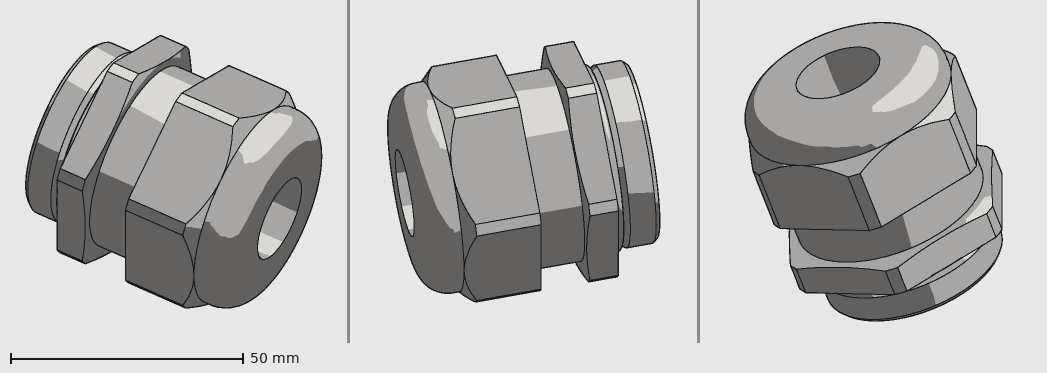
import cadquery as cq
import math

FULL_TURN = 360


lead_in_end = 1.0
thread_end = 6.7
neck_start = 8.1
flange_start = 10.0
flange_end = 17.0
nut_start = 27.0
nut_end = 44.0
dome_start = 45.5
total_length = 52.0

thread_diameter = 40.0
core_diameter = 38.38
ring_outer_diameter = 41.2
ring_section_radius = 1.25
ring_overlap = 0.1
ring_centre_x = neck_start + ring_section_radius - ring_overlap

body_diameter = 42.2
across_flats = 46.0
corner_diameter = 51.59
flange_chamfer_angle = 15.0
nut_chamfer_angle = 45.0
cap_diameter = across_flats
dome_radius = total_length - dome_start

bore_entry_diameter = 24.0
bore_exit_diameter = 19.0


def revolve_about_x(profile):
    """Revolve a closed XY profile a full turn about the X axis."""
    return profile.revolve(FULL_TURN, (0, 0, 0), (1, 0, 0))


def cylinder_along_x(start, end, diameter):
    return cq.Workplane("YZ").workplane(offset=start).circle(diameter / 2).extrude(end - start)


def make_spigot():
    """Thread envelope with a lead-in chamfer and a tapered run-out into the neck."""
    profile = (
        cq.Workplane("XY")
        .lineTo(0, core_diameter / 2)
        .lineTo(lead_in_end, thread_diameter / 2)
        .lineTo(thread_end, thread_diameter / 2)
        .lineTo(neck_start, core_diameter / 2)
        .lineTo(flange_start, core_diameter / 2)
        .lineTo(flange_start, 0)
        .close()
    )
    return revolve_about_x(profile)


def make_sealing_ring():
    """Round-section ring on the neck, with its far side sunk into the flange."""
    ring_centre_radius = ring_outer_diameter / 2 - ring_section_radius
    profile = cq.Workplane("XY").center(ring_centre_x, ring_centre_radius).circle(ring_section_radius)
    return profile.revolve(FULL_TURN, (-ring_centre_x, -ring_centre_radius, 0), (0, -ring_centre_radius, 0))


def make_hexagon(start, end, chamfer_angle):
    """Hexagon with flats facing +/-Y, turned-down corners and a conical chamfer at its far end."""
    flat_radius = across_flats / 2
    corner_radius = corner_diameter / 2
    chamfer_length = (corner_radius - flat_radius) * math.tan(math.radians(chamfer_angle))
    prism = (
        cq.Workplane("YZ")
        .workplane(offset=start)
        .polygon(6, across_flats, circumscribed=True)
        .extrude(end - start)
    )
    turned_profile = (
        cq.Workplane("XY")
        .moveTo(start, 0)
        .lineTo(start, corner_radius)
        .lineTo(end - chamfer_length, corner_radius)
        .lineTo(end, flat_radius)
        .lineTo(end, 0)
        .close()
    )
    return prism.intersect(revolve_about_x(turned_profile))


def make_cap():
    """Cylindrical cap with a fully rounded outer rim."""
    rim_radius = cap_diameter / 2
    arc_offset = dome_radius * math.sqrt(0.5)
    arc_middle = (dome_start + arc_offset, rim_radius - dome_radius + arc_offset)
    profile = (
        cq.Workplane("XY")
        .moveTo(nut_end, 0)
        .lineTo(nut_end, rim_radius)
        .lineTo(dome_start, rim_radius)
        .threePointArc(arc_middle, (total_length, rim_radius - dome_radius))
        .lineTo(total_length, 0)
        .close()
    )
    return revolve_about_x(profile)


def make_bore():
    """Conical passage, narrowing steadily from the thread end to the cap."""
    profile = (
        cq.Workplane("XY")
        .lineTo(0, bore_entry_diameter / 2)
        .lineTo(total_length, bore_exit_diameter / 2)
        .lineTo(total_length, 0)
        .close()
    )
    return revolve_about_x(profile)


result = (
    make_spigot()
    .union(make_sealing_ring())
    .union(make_hexagon(flange_start, flange_end, flange_chamfer_angle))
    .union(cylinder_along_x(flange_end, nut_start, body_diameter))
    .union(make_hexagon(nut_start, nut_end, nut_chamfer_angle))
    .union(make_cap())
    .cut(make_bore())
)